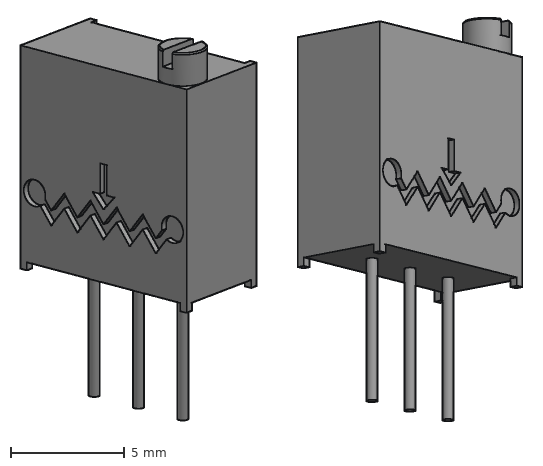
import cadquery as cq


TOTAL_Z = 17.95

BODY_X = 9.53
BODY_Y = 4.83
BODY_Z = 10.4
STANDOFF = 0.38
FRONT_Y = -BODY_Y / 2

SCREW_DIAMETER = 2.17
SCREW_HEIGHT = 1.53
SCREW_SIDE_GAP = 0.04
SCREW_CHAMFER = 0.07
SLOT_WIDTH = 0.54
SLOT_DEPTH = 0.77

PIN_DIAMETER = 0.5
PIN_SPAN = 5.08
PIN_COUNT = 3
PIN_PITCH = PIN_SPAN / (PIN_COUNT - 1)
PIN_LENGTH = TOTAL_Z - BODY_Z - SCREW_HEIGHT

ENGRAVING_DEPTH = 0.3
SYMBOL_Z = 3.7
TERMINAL_DIAMETER = 1.24
TERMINAL_X = 3.95
ZIGZAG_OUTER_VALLEY_X = 3.0
ZIGZAG_STEPS_PER_SIDE = 5
ZIGZAG_STEP = ZIGZAG_OUTER_VALLEY_X / (ZIGZAG_STEPS_PER_SIDE - 1)
ZIGZAG_RISE = 0.95
ZIGZAG_THICKNESS = 0.7
ZIGZAG_PEAK_Z = 0.35

ARROW_TOP_Z = 2.19
ARROW_HEAD_Z = 0.77
ARROW_TIP_Z = 0.09
ARROW_HEAD_WIDTH = 1.25
ARROW_STEM_WIDTH = 0.4


def make_housing():
    """Block with a full-height rear recess and a foot at each corner."""
    block = cq.Workplane("XY").box(BODY_X, BODY_Y, BODY_Z, centered=(True, True, False))
    inner_x = BODY_X - 2 * STANDOFF
    inner_y = BODY_Y - 2 * STANDOFF
    rear_recess = cq.Workplane("XY").box(
        inner_x, 2 * STANDOFF, BODY_Z, centered=(True, True, False)
    ).translate((0, BODY_Y / 2, 0))
    gap_along_x = cq.Workplane("XY").box(inner_x, BODY_Y, 2 * STANDOFF)
    gap_along_y = cq.Workplane("XY").box(BODY_X, inner_y, 2 * STANDOFF)
    return block.cut(rear_recess).cut(gap_along_x).cut(gap_along_y)


def make_screw():
    """Chamfered screw head with a driver slot along Y, tangent to the front plane."""
    radius = SCREW_DIAMETER / 2
    screw = (
        cq.Workplane("XY")
        .circle(radius)
        .extrude(SCREW_HEIGHT)
        .faces(">Z")
        .chamfer(SCREW_CHAMFER)
    )
    slot = cq.Workplane("XY").box(SLOT_WIDTH, SCREW_DIAMETER, 2 * SLOT_DEPTH)
    screw = screw.cut(slot.translate((0, 0, SCREW_HEIGHT)))
    screw_x = BODY_X / 2 - SCREW_SIDE_GAP - radius
    return screw.translate((screw_x, FRONT_Y + radius, BODY_Z))


def make_pins():
    """Row of round pins running from the underside of the housing."""
    return (
        cq.Workplane("XY", origin=(0, 0, STANDOFF))
        .rarray(PIN_PITCH, 0.18, PIN_COUNT, 1)
        .circle(PIN_DIAMETER / 2)
        .extrude(-(STANDOFF + PIN_LENGTH))
    )


def front_plane():
    """Sketch plane on the front face, centred between the terminals."""
    return cq.Workplane("XZ", origin=(0, FRONT_Y, SYMBOL_Z))


def make_resistor_symbol():
    """Zigzag band joining two round terminals."""
    upper_edge = []
    for step in range(-ZIGZAG_STEPS_PER_SIDE, ZIGZAG_STEPS_PER_SIDE + 1):
        is_peak = step % 2 == 1
        z = ZIGZAG_PEAK_Z if is_peak else ZIGZAG_PEAK_Z - ZIGZAG_RISE
        upper_edge.append((step * ZIGZAG_STEP, z))
    lower_edge = [(x, z - ZIGZAG_THICKNESS) for x, z in reversed(upper_edge)]
    zigzag = front_plane().polyline(upper_edge + lower_edge).close().extrude(-ENGRAVING_DEPTH)
    terminals = (
        front_plane()
        .rarray(2 * TERMINAL_X, 0.18, 2, 1)
        .circle(TERMINAL_DIAMETER / 2)
        .extrude(-ENGRAVING_DEPTH)
    )
    return zigzag.union(terminals)


def make_arrow():
    """Wiper arrow pointing down at the middle valley of the zigzag."""
    half_stem = ARROW_STEM_WIDTH / 2
    half_head = ARROW_HEAD_WIDTH / 2
    outline = [
        (-half_stem, ARROW_TOP_Z),
        (half_stem, ARROW_TOP_Z),
        (half_stem, ARROW_HEAD_Z),
        (half_head, ARROW_HEAD_Z),
        (0, ARROW_TIP_Z),
        (-half_head, ARROW_HEAD_Z),
        (-half_stem, ARROW_HEAD_Z),
    ]
    return front_plane().polyline(outline).close().extrude(-ENGRAVING_DEPTH)


housing = make_housing().cut(make_resistor_symbol()).cut(make_arrow())
result = housing.union(make_screw()).union(make_pins())